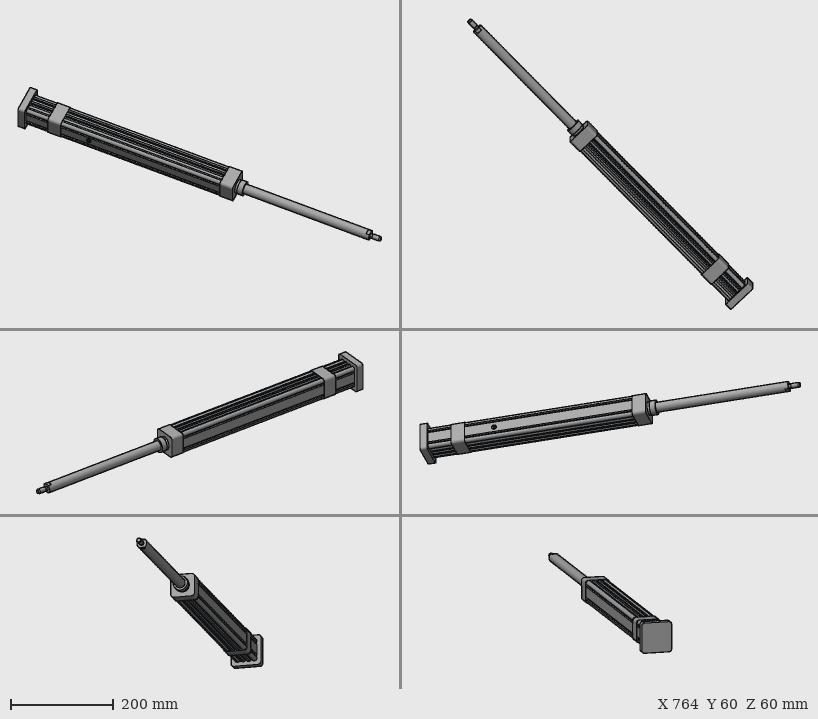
import cadquery as cq


total_length = 764.0
flange_thickness = 14.5
block_length = 27.5
block_start = 61.0
block_end = block_start + block_length
head_start = 429.0
head_end = head_start + block_length
gland_neck_length = 4.5
gland_start = head_end + gland_neck_length
gland_end = 473.0
rod_end = 742.0
stud_neck_length = 4.5
stud_start = rod_end + stud_neck_length

flange_size = 60.0
flange_corner = 5.0

block_width = 48.0
block_height = 46.0
block_corner = 6.0

profile_size = 45.0
profile_corner = 5.0
side_slot_offset = 13.0
side_slot_width = 4.5
side_slot_floor = 1.5
side_slot_depth = 2.0
top_slot_offset = 11.5
top_slot_width = 7.0
top_slot_floor = 2.0
top_slot_depth = 2.0
vee_offset = -11.5
vee_width = 9.0
vee_depth = 2.1

port_x = 148.0
port_mouth_diameter = 9.0
port_mouth_depth = 2.0
port_diameter = 4.0
port_depth = 8.0

gland_diameter = 29.0
gland_neck_diameter = 27.5

rod_diameter = 20.0
flat_length = 7.0
flat_spacing = 17.0
stud_diameter = 10.0
stud_neck_diameter = 8.5
stud_tip_diameter = 8.0
stud_tip_length = 3.0


def rounded_bar(start, end, width, height, corner):
    """Bar along X with its four long edges rounded."""
    bar = cq.Workplane("YZ", origin=(start, 0, 0)).rect(width, height).extrude(end - start)
    return bar.edges("|X").fillet(corner)


def cylinder(start, end, diameter):
    """Round bar along X."""
    return cq.Workplane("YZ", origin=(start, 0, 0)).circle(diameter / 2).extrude(end - start)


def top_groove(start, end, offset, depth, mouth_width, floor_width=0):
    """Cutter for a groove along the +Z face; a zero floor width makes it a vee."""
    mouth_z = profile_size / 2
    floor_z = mouth_z - depth
    points = [(offset - mouth_width / 2, mouth_z)]
    if floor_width > 0:
        points += [(offset - floor_width / 2, floor_z), (offset + floor_width / 2, floor_z)]
    else:
        points.append((offset, floor_z))
    points.append((offset + mouth_width / 2, mouth_z))
    return cq.Workplane("YZ", origin=(start, 0, 0)).polyline(points).close().extrude(end - start)


def grooved_profile(start, end):
    """Square extrusion with grooves mirrored onto its opposite faces."""
    bar = rounded_bar(start, end, profile_size, profile_size, profile_corner)

    for offset in (-side_slot_offset, side_slot_offset):
        slot = top_groove(start, end, offset, side_slot_depth, side_slot_width, side_slot_floor)
        for turn in (90, -90):
            bar = bar.cut(slot.rotate((0, 0, 0), (1, 0, 0), turn))

    top_grooves = [top_groove(start, end, vee_offset, vee_depth, vee_width)]
    for offset in (0, top_slot_offset):
        top_grooves.append(
            top_groove(start, end, offset, top_slot_depth, top_slot_width, top_slot_floor)
        )
    for groove in top_grooves:
        bar = bar.cut(groove).cut(groove.mirror("XY"))
    return bar


def make_motor_mount():
    """Square flange with the short profile that reaches the bearing block."""
    flange = rounded_bar(0, flange_thickness, flange_size, flange_size, flange_corner)
    return flange.union(grooved_profile(flange_thickness, block_start))


def make_bearing_block():
    return rounded_bar(block_start, block_end, block_width, block_height, block_corner)


def make_barrel():
    port_face = cq.Workplane("XZ", origin=(port_x, -profile_size / 2, 0))
    port_mouth = port_face.circle(port_mouth_diameter / 2).extrude(-port_mouth_depth)
    port_hole = port_face.circle(port_diameter / 2).extrude(-port_depth)
    return grooved_profile(block_end, head_start).cut(port_mouth).cut(port_hole)


def make_head():
    """Head block and gland, bored through for the rod."""
    block = rounded_bar(head_start, head_end, block_width, block_height, block_corner)
    neck = cylinder(head_end, gland_start, gland_neck_diameter)
    gland = cylinder(gland_start, gland_end, gland_diameter)
    bore = cylinder(head_start, gland_end, rod_diameter)
    return block.union(neck).union(gland).cut(bore)


def make_rod():
    """Rod seated on the barrel end, with wrench flats and a tapered stud tip."""
    rod = cylinder(head_start, rod_end, rod_diameter)
    flat_cutter = cq.Workplane("XY").box(flat_length, rod_diameter, rod_diameter)
    flat_x = rod_end - flat_length / 2
    flat_z = (flat_spacing + rod_diameter) / 2
    for side in (-1, 1):
        rod = rod.cut(flat_cutter.translate((flat_x, 0, side * flat_z)))

    neck = cylinder(rod_end, stud_start, stud_neck_diameter)
    tip_start = total_length - stud_tip_length
    stud = cylinder(stud_start, tip_start, stud_diameter)
    tip = cq.Workplane("YZ", origin=(tip_start, 0, 0)).circle(stud_diameter / 2)
    tip = tip.workplane(offset=stud_tip_length).circle(stud_tip_diameter / 2).loft(ruled=True)
    return rod.union(neck).union(stud).union(tip)


motor_mount = make_motor_mount()
bearing_block = make_bearing_block()
barrel = make_barrel()
head = make_head()
rod = make_rod()

result = cq.Compound.makeCompound(
    [motor_mount.val(), bearing_block.val(), barrel.val(), head.val(), rod.val()]
)